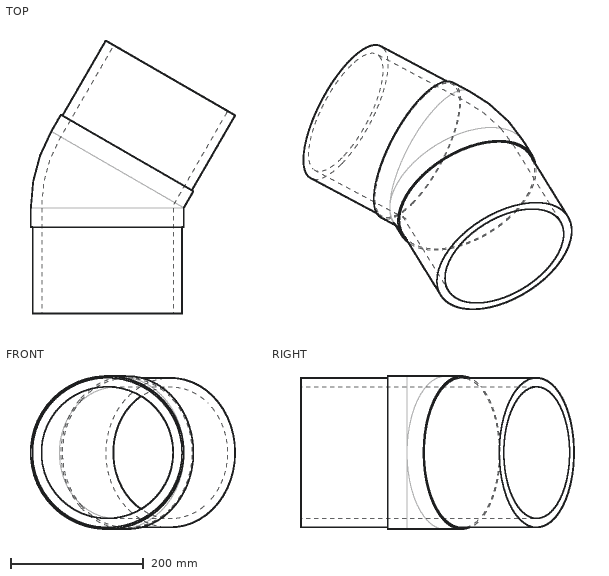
import cadquery as cq
import math

overall_length = 410.8
bend_angle = 30.0
bore_diameter = 198.0
spigot_diameter = 225.0
collar_diameter = 230.5
collar_length = 28.8
inner_side_gap = 0.2

outer_bend_radius = collar_diameter / 2 + inner_side_gap
bore_bend_radius = bore_diameter / 2 + inner_side_gap

angle = math.radians(bend_angle)
bend_rise = (outer_bend_radius + spigot_diameter / 2) * math.sin(angle)
outer_leg_length = (overall_length - bend_rise) / (1 + math.cos(angle))
spigot_length = outer_leg_length - collar_length

bore_leg_length = outer_leg_length + (outer_bend_radius - bore_bend_radius) * math.tan(angle / 2)


def entry_cylinder(diameter, start, length):
    """Cylinder on the entry axis, running toward +Y from the given position."""
    return cq.Workplane("XZ", origin=(0, start, 0)).circle(diameter / 2).extrude(-length)


def exit_leg(entry_leg, leg_length, bend_radius):
    """Mirror an entry leg across the start of its bend, then swing it to the exit."""
    axis_start = (bend_radius, leg_length, 0)
    axis_end = (bend_radius, leg_length, 1)
    mirrored = entry_leg.mirror("XZ", (0, leg_length, 0))
    return mirrored.rotate(axis_start, axis_end, -bend_angle)


def bend(diameter, leg_length, bend_radius):
    """Toroidal sector joining two legs, turning about an axis parallel to Z."""
    return (
        cq.Workplane("XZ", origin=(0, leg_length, 0))
        .circle(diameter / 2)
        .revolve(bend_angle, (bend_radius, 4, 0), (bend_radius, 0, 0))
    )


def elbow(entry_leg, diameter, leg_length, bend_radius):
    """Solid elbow: an entry leg, its bend and the matching exit leg."""
    return entry_leg.union(bend(diameter, leg_length, bend_radius)).union(
        exit_leg(entry_leg, leg_length, bend_radius)
    )


stepped_leg = entry_cylinder(spigot_diameter, 0, outer_leg_length).union(
    entry_cylinder(collar_diameter, spigot_length, collar_length)
)
body = elbow(stepped_leg, collar_diameter, outer_leg_length, outer_bend_radius)

bore_leg = entry_cylinder(bore_diameter, 0, bore_leg_length)
bore = elbow(bore_leg, bore_diameter, bore_leg_length, bore_bend_radius)

result = body.cut(bore)